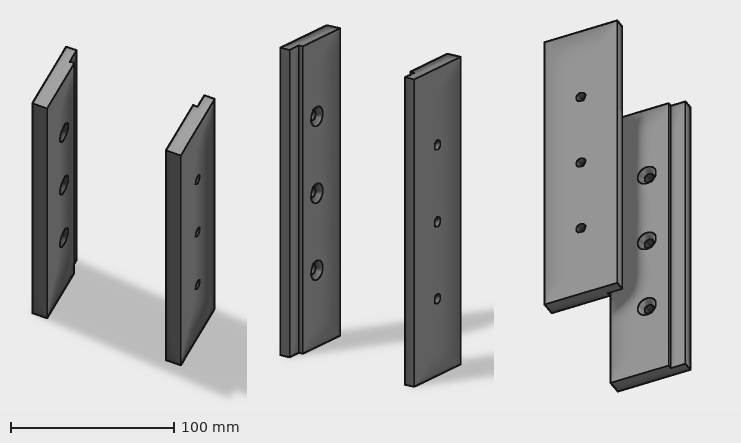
import cadquery as cq

pair_width = 100.0
plate_depth = 49.8
plate_height = 200.0
plate_thickness = 10.0

rebate_depth = 10.0
tongue_thickness = 7.0

hole_diameter = 6.2
countersink_diameter = 12.5
countersink_angle = 90.0
hole_spacing = 50.0
hole_count = 3


def plate_blank():
    """Left plate: an L-stepped outline in XY, extruded upwards and centred on the origin in Y and Z."""
    outer_x = -pair_width / 2
    inner_x = outer_x + plate_thickness
    tongue_x = outer_x + tongue_thickness
    front_y = -plate_depth / 2
    rear_y = plate_depth / 2
    shoulder_y = rear_y - rebate_depth
    outline = [
        (outer_x, front_y),
        (inner_x, front_y),
        (inner_x, shoulder_y),
        (tongue_x, shoulder_y),
        (tongue_x, rear_y),
        (outer_x, rear_y),
    ]
    return (
        cq.Workplane("XY")
        .workplane(offset=-plate_height / 2)
        .polyline(outline)
        .close()
        .extrude(plate_height)
    )


def drill_screw_holes(plate):
    """Drill the vertical row of countersunk holes through the plate from its inner face."""
    inner_face = cq.Workplane("YZ", origin=(-pair_width / 2 + plate_thickness, 0, 0))
    return (
        plate.copyWorkplane(inner_face)
        .rarray(1, hole_spacing, 1, hole_count)
        .cskHole(hole_diameter, countersink_diameter, countersink_angle)
    )


def side_plates():
    """The left plate and its mirror image on the right."""
    left = drill_screw_holes(plate_blank())
    right = left.mirror("YZ")
    return [left.val(), right.val()]


result = cq.Compound.makeCompound(side_plates())